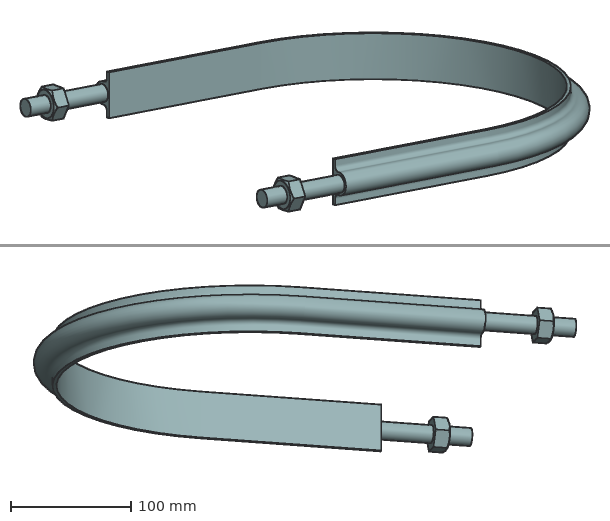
import cadquery as cq
import math

total_length = 414.8
bend_radius = 170.5

rod_diameter = 15.5

sleeve_radius = 10.0
flange_width = 40.0
flange_thickness = 3.5
flange_inner_face = 9.0
root_fillet = 4.5
sleeve_leg_length = 155.5

nut_across_corners = 30.3
nut_thickness = 13.3
nut_end_gap = 20.5
nut_chamfer_height = 1.5
nut_chamfer_diameter = 24.0

rod_leg_length = total_length - bend_radius - sleeve_radius


def sweep_along_u(make_profile, leg_length):
    """Carry a profile, drawn on XZ about the left rod centreline, along both legs and the bend."""
    left_leg = make_profile().extrude(leg_length)
    right_leg = left_leg.mirror("YZ")
    bend = make_profile().revolve(180, (bend_radius, 0, 0), (bend_radius, -1, 0))
    return left_leg.union(bend).union(right_leg)


def leg_plane(x, y=0):
    """Plane across a leg, with its normal toward the free end and local Y up."""
    return cq.Workplane("XZ", origin=(x, y, 0))


def rod_profile():
    return leg_plane(-bend_radius).circle(rod_diameter / 2)


def make_rod():
    return sweep_along_u(rod_profile, rod_leg_length)


def sleeve_profile():
    """Flange and tube outline; local +X points to the inside of the U."""
    half_width = flange_width / 2
    flange_outer_face = flange_inner_face - flange_thickness
    fillet_x = flange_outer_face - root_fillet
    centre_distance = sleeve_radius + root_fillet
    fillet_z = math.sqrt(centre_distance**2 - fillet_x**2)
    tube_x = fillet_x * sleeve_radius / centre_distance
    tube_z = fillet_z * sleeve_radius / centre_distance

    tube_end_angle = math.atan2(fillet_z, fillet_x) + math.pi
    middle_angle = (tube_end_angle + 2 * math.pi) / 2
    middle_x = fillet_x + root_fillet * math.cos(middle_angle)
    middle_z = fillet_z + root_fillet * math.sin(middle_angle)

    return (
        leg_plane(-bend_radius)
        .moveTo(flange_inner_face, -half_width)
        .lineTo(flange_inner_face, half_width)
        .lineTo(flange_outer_face, half_width)
        .lineTo(flange_outer_face, fillet_z)
        .threePointArc((middle_x, middle_z), (tube_x, tube_z))
        .threePointArc((-sleeve_radius, 0), (tube_x, -tube_z))
        .threePointArc((middle_x, -middle_z), (flange_outer_face, -fillet_z))
        .lineTo(flange_outer_face, -half_width)
        .close()
    )


def make_sleeve(rod):
    return sweep_along_u(sleeve_profile, sleeve_leg_length).cut(rod)


def make_nut(x):
    """Hexagon nut with corners along X, chamfered on the side of the free rod end."""
    inner_y = -rod_leg_length + nut_end_gap + nut_thickness
    chamfer_start_y = inner_y - nut_thickness + nut_chamfer_height
    hexagon = leg_plane(x, inner_y).polygon(6, nut_across_corners).extrude(nut_thickness)
    straight = leg_plane(x, inner_y).circle(nut_across_corners / 2).extrude(nut_thickness - nut_chamfer_height)
    cone = (
        leg_plane(x, chamfer_start_y)
        .circle(nut_across_corners / 2)
        .workplane(offset=nut_chamfer_height)
        .circle(nut_chamfer_diameter / 2)
        .loft()
    )
    bore = leg_plane(x, inner_y).circle(rod_diameter / 2).extrude(nut_thickness)
    return hexagon.intersect(straight.union(cone)).cut(bore)


rod = make_rod()
sleeve = make_sleeve(rod)
nuts = [make_nut(x) for x in (-bend_radius, bend_radius)]

result = cq.Compound.makeCompound([rod.val(), sleeve.val(), *[nut.val() for nut in nuts]])